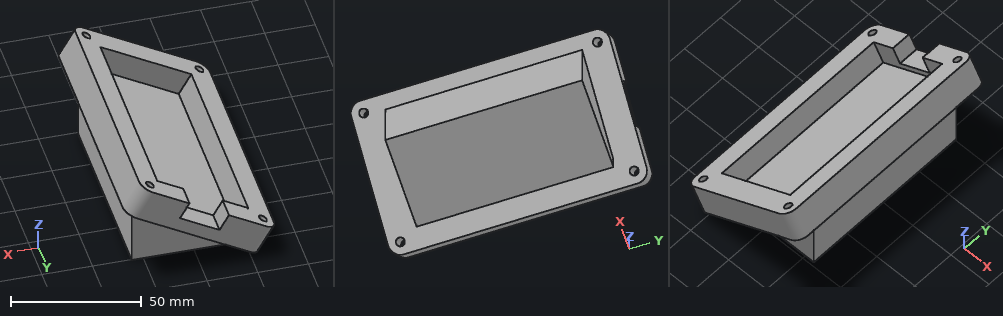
import cadquery as cq
import math

TILT = 30.0
TRAY_LENGTH = 104.0
TRAY_WIDTH = 61.6
TRAY_THICKNESS = 13.0
CORNER_RADIUS = 5.0
TRAY_LOW_EDGE_Z = 1.4

POCKET_DEPTH = 10.0
POCKET_LOW_WALL = 10.4
POCKET_HIGH_WALL = 9.7
POCKET_FRONT_WALL = 10.4
POCKET_BACK_WALL = 9.3

NOTCH_WIDTH = 18.0
NOTCH_DEPTH = 7.5
NOTCH_START = 22.0

HOLE_DIAMETER = 3.4

STAND_WIDTH = 38.1
STAND_X = 16.4
STAND_FRONT_Y = -38.6
STAND_BACK_Y = 40.6

tilt = math.radians(TILT)
top_edge_z = TRAY_LOW_EDGE_Z + TRAY_THICKNESS * math.cos(tilt)
tray_plane = cq.Plane(
    origin=(0, 0, top_edge_z),
    xDir=(math.cos(tilt), 0, math.sin(tilt)),
    normal=(-math.sin(tilt), 0, math.cos(tilt)),
)


def sunk_block(x_start, x_end, y_start, y_end, depth):
    """Block sunk below the upper face of the tray."""
    return (
        cq.Workplane(tray_plane)
        .center((x_start + x_end) / 2, (y_start + y_end) / 2)
        .rect(x_end - x_start, y_end - y_start)
        .extrude(-depth)
    )


def make_tray():
    half_length = TRAY_LENGTH / 2
    blank = sunk_block(0, TRAY_WIDTH, -half_length, half_length, TRAY_THICKNESS)
    blank = blank.edges(cq.selectors.ParallelDirSelector(tray_plane.zDir)).fillet(CORNER_RADIUS)

    pocket_back_y = half_length - POCKET_BACK_WALL
    pocket = sunk_block(
        POCKET_LOW_WALL,
        TRAY_WIDTH - POCKET_HIGH_WALL,
        -half_length + POCKET_FRONT_WALL,
        pocket_back_y,
        POCKET_DEPTH,
    )
    notch = sunk_block(NOTCH_START, NOTCH_START + NOTCH_WIDTH, pocket_back_y, half_length, NOTCH_DEPTH)
    holes = (
        cq.Workplane(tray_plane)
        .center(TRAY_WIDTH / 2, 0)
        .rect(TRAY_WIDTH - 2 * CORNER_RADIUS, TRAY_LENGTH - 2 * CORNER_RADIUS, forConstruction=True)
        .vertices()
        .circle(HOLE_DIAMETER / 2)
        .extrude(-TRAY_THICKNESS)
    )
    return blank.cut(pocket).cut(notch).cut(holes)


def tray_underside_z(x):
    """Height of the tray's lower face at a given x."""
    low_edge_x = TRAY_THICKNESS * math.sin(tilt)
    return TRAY_LOW_EDGE_Z + (x - low_edge_x) * math.tan(tilt)


def make_stand():
    x_low = STAND_X
    x_high = STAND_X + STAND_WIDTH
    return (
        cq.Workplane("XZ", origin=(0, STAND_BACK_Y, 0))
        .moveTo(x_low, 0)
        .lineTo(x_high, 0)
        .lineTo(x_high, tray_underside_z(x_high))
        .lineTo(x_low, tray_underside_z(x_low))
        .close()
        .extrude(STAND_BACK_Y - STAND_FRONT_Y)
    )


tray = make_tray()
stand = make_stand()

result = cq.Compound.makeCompound([tray.val(), stand.val()])